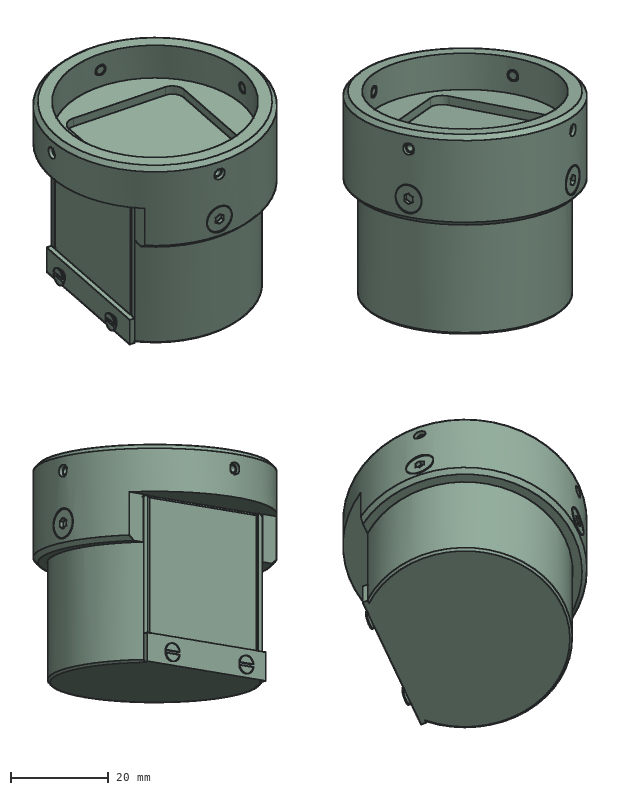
import cadquery as cq
import math

ring_diameter = 50.0
ring_top = 45.0
ring_bottom = 25.0
ring_chamfer = 1.0
bore_diameter = 42.2
bore_floor = 37.0
window_side = 27.8
window_corner_radius = 2.8

body_diameter = 44.0
body_top = 35.0
body_edge_chamfer = 0.5
skirt_clearance = 0.1
flat_y = -15.0

glass_width = 30.0
glass_bevel = 0.5

plate_height = 6.0
plate_thickness = 1.15
plate_screw_spacing = 20.0
plate_screw_z = 2.5
slot_head_diameter = 3.8
slot_head_height = 1.0
slot_head_rim = 0.25
slot_width = 0.6
slot_depth = 0.6

set_screw_z = (ring_top + bore_floor) / 2
set_screw_diameter = 2.5
set_screw_chamfer = 0.3
set_screw_recess = 0.75
set_screw_socket_diameter = 1.55
set_screw_socket_depth = 0.75

skirt_screw_z = (ring_bottom + body_top) / 2
skirt_screw_diameter = 6.0
skirt_screw_length = 4.0
hex_across_flats = 2.0
hex_depth = 1.0

ring_radius = ring_diameter / 2
body_radius = body_diameter / 2
bore_radius = bore_diameter / 2
plate_front_y = flat_y - plate_thickness
plate_width = 2 * math.sqrt(body_radius**2 - flat_y**2)


def disc(diameter, bottom, top):
    """Vertical cylinder about the part axis."""
    return cq.Workplane("XY").workplane(offset=bottom).circle(diameter / 2).extrude(top - bottom)


def block(x_size, y_min, y_max, z_min, z_max):
    """Box centred on X with given Y and Z limits."""
    solid_box = cq.Workplane("XY").box(x_size, y_max - y_min, z_max - z_min, centered=(True, False, False))
    return solid_box.translate((0, y_min, z_min))


def radial(shape, angle, height):
    """Turn a shape lying along +X about the part axis and lift it to a height."""
    return shape.rotate((0, 0, 0), (0, 0, 1), angle).translate((0, 0, height))


def pin_to_ring(diameter, start):
    """Cylinder along +X from a starting distance out to the ring radius."""
    return cq.Workplane("YZ").workplane(offset=start).circle(diameter / 2).extrude(ring_radius - start)


def revolved_on_x(points):
    """Solid of revolution about X from a closed (x, radius) outline."""
    return cq.Workplane("XY").polyline(points).close().revolve(360, (0, 0, 0), (1, 0, 0))


def below_flat(z_min, z_max):
    """Everything in front of the housing flat between two heights."""
    return block(2 * ring_diameter, -ring_diameter, flat_y, z_min, z_max)


def make_ring():
    """Chamfered ring with a bore, a rounded square window and a skirt open at the flat."""
    ring = disc(ring_diameter, ring_bottom, ring_top).faces("<Z or >Z").chamfer(ring_chamfer)
    ring = ring.cut(disc(bore_diameter, bore_floor, ring_top))
    window = (
        cq.Workplane("XY")
        .workplane(offset=body_top)
        .rect(window_side, window_side)
        .extrude(bore_floor - body_top)
        .edges("|Z")
        .fillet(window_corner_radius)
    )
    skirt_bore = disc(body_diameter + 2 * skirt_clearance, ring_bottom, body_top)
    return ring.cut(window).cut(skirt_bore).cut(below_flat(ring_bottom, body_top))


def make_body():
    """Flatted housing with the bevelled glass face in its flat."""
    body = disc(body_diameter, 0, body_top).faces("<Z or >Z").chamfer(body_edge_chamfer)
    body = body.cut(below_flat(0, body_top))
    half = glass_width / 2
    side_groove = (
        cq.Workplane("XY")
        .workplane(offset=plate_height)
        .polyline([(half, flat_y), (half, flat_y + glass_bevel), (half - glass_bevel, flat_y)])
        .close()
        .extrude(body_top - plate_height)
    )
    top_groove = (
        cq.Workplane("YZ")
        .polyline([(flat_y, body_top), (flat_y + glass_bevel, body_top), (flat_y, body_top - glass_bevel)])
        .close()
        .extrude(half, both=True)
    )
    return body.cut(side_groove).cut(side_groove.mirror("YZ")).cut(top_groove)


def make_slotted_screw():
    """Countersunk head standing on the plate along +X, with a horizontal slot."""
    rim_radius = slot_head_diameter / 2
    neck_radius = rim_radius - (slot_head_height - slot_head_rim)
    head = revolved_on_x(
        [
            (0, 0),
            (0, neck_radius),
            (slot_head_height - slot_head_rim, rim_radius),
            (slot_head_height, rim_radius),
            (slot_head_height, 0),
        ]
    )
    slot = cq.Workplane("XY").box(2 * slot_depth, slot_head_diameter, slot_width)
    return head.cut(slot.translate((slot_head_height, 0, 0)))


def make_set_screw():
    """Plug along +X with chamfered ends and a conical socket in its outer end."""
    outer = ring_radius - set_screw_recess
    radius = set_screw_diameter / 2
    tip_radius = radius - set_screw_chamfer
    return revolved_on_x(
        [
            (bore_radius, 0),
            (bore_radius, tip_radius),
            (bore_radius + set_screw_chamfer, radius),
            (outer - set_screw_chamfer, radius),
            (outer, tip_radius),
            (outer, set_screw_socket_diameter / 2),
            (outer - set_screw_socket_depth, 0),
        ]
    )


def make_set_screw_hole():
    """Radial hole along +X through the socket wall, opening into the bore."""
    return pin_to_ring(set_screw_diameter, bore_radius - set_screw_chamfer)


def make_skirt_screw():
    """Flat-faced screw along +X, from inside the housing out to the ring radius."""
    return pin_to_ring(skirt_screw_diameter, ring_radius - skirt_screw_length)


def make_countersink_rim():
    """Cone along +X that flares at 45 degrees where the skirt rises above the edge of the screw."""
    radius = skirt_screw_diameter / 2
    start = math.sqrt(ring_radius**2 - radius**2)
    rise = ring_radius - start
    return revolved_on_x([(start, 0), (start, radius), (ring_radius, radius + rise), (ring_radius, 0)])


def make_hex_socket():
    """Hexagonal recess along +X with its corners up and down."""
    corner_diameter = hex_across_flats / math.cos(math.pi / 6)
    return (
        cq.Workplane("YZ")
        .workplane(offset=ring_radius - hex_depth)
        .transformed(rotate=(0, 0, 90))
        .polygon(6, corner_diameter)
        .extrude(hex_depth)
    )


result = make_ring().union(make_body())

plate = block(plate_width, plate_front_y, flat_y, 0, plate_height)
result = result.union(plate)
for x in (-plate_screw_spacing / 2, plate_screw_spacing / 2):
    result = result.union(radial(make_slotted_screw(), -90, plate_screw_z).translate((x, plate_front_y, 0)))

for angle in (0, 90, 180, 270):
    result = result.cut(radial(make_set_screw_hole(), angle, set_screw_z))
    result = result.union(radial(make_set_screw(), angle, set_screw_z))

for angle in (0, 90, 180):
    result = result.cut(radial(make_countersink_rim(), angle, skirt_screw_z))
    result = result.union(radial(make_skirt_screw(), angle, skirt_screw_z))
    result = result.cut(radial(make_hex_socket(), angle, skirt_screw_z))